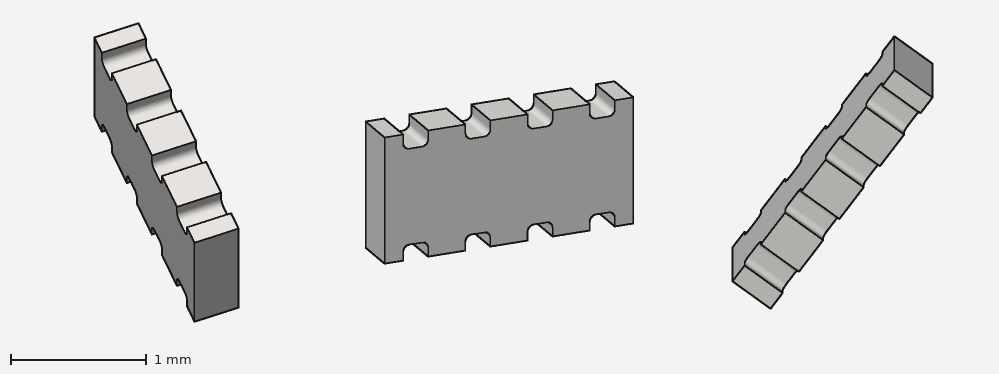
import cadquery as cq

LENGTH = 2.0
THICKNESS = 0.35
HEIGHT = 1.0

NOTCHES_PER_EDGE = 4
NOTCH_PITCH = LENGTH / NOTCHES_PER_EDGE
NOTCH_WIDTH = 0.2
NOTCH_DEPTH = 0.12
NOTCH_RADIUS = 0.05


def notch_cutter(x, side):
    """Round-bottomed slot through the thickness; side is +1 for the top edge, -1 for the bottom."""
    return (
        cq.Workplane("XY")
        .box(NOTCH_WIDTH, THICKNESS, 2 * NOTCH_DEPTH)
        .edges("|Y")
        .fillet(NOTCH_RADIUS)
        .translate((x, 0, side * HEIGHT / 2))
    )


result = cq.Workplane("XY").box(LENGTH, THICKNESS, HEIGHT)
for index in range(NOTCHES_PER_EDGE):
    notch_x = (index - (NOTCHES_PER_EDGE - 1) / 2) * NOTCH_PITCH
    for edge_side in (1, -1):
        result = result.cut(notch_cutter(notch_x, edge_side))